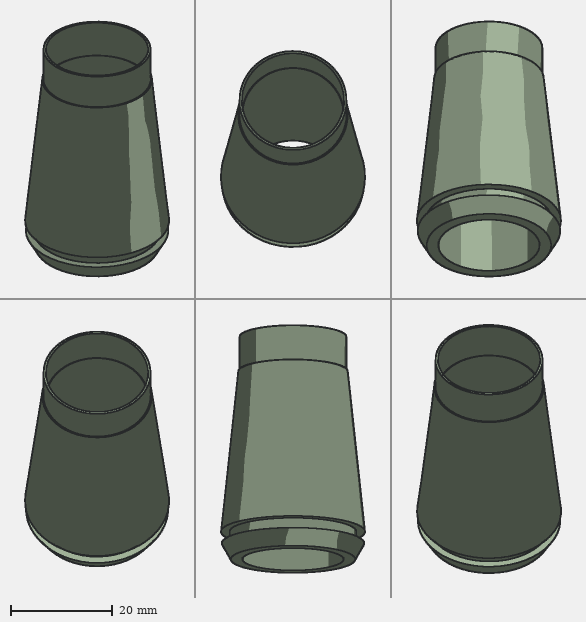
import cadquery as cq

height = 45.0
collar_top = 3.25
groove_top = 5.6
shoulder_height = 38.02
ledge_height = 37.5

collar_bottom_radius = 12.3
collar_top_radius = 14.1
groove_radius = 12.5
skirt_diameter = 28.5
skirt_radius = skirt_diameter / 2
shoulder_radius = 10.85
neck_radius = 10.58

bore_radius = 10.0
ledge_width = 0.1
neck_bore_radius = bore_radius + ledge_width

half_section = [
    (collar_bottom_radius, 0),
    (collar_top_radius, collar_top),
    (groove_radius, collar_top),
    (groove_radius, groove_top),
    (skirt_radius, groove_top),
    (shoulder_radius, shoulder_height),
    (neck_radius, shoulder_height),
    (neck_radius, height),
    (neck_bore_radius, height),
    (neck_bore_radius, ledge_height),
    (bore_radius, ledge_height),
    (bore_radius, 0),
]

axis_start = (0, 0, 0)
axis_end = (0, 1, 0)
result = cq.Workplane("YZ").polyline(half_section).close().revolve(360, axis_start, axis_end)